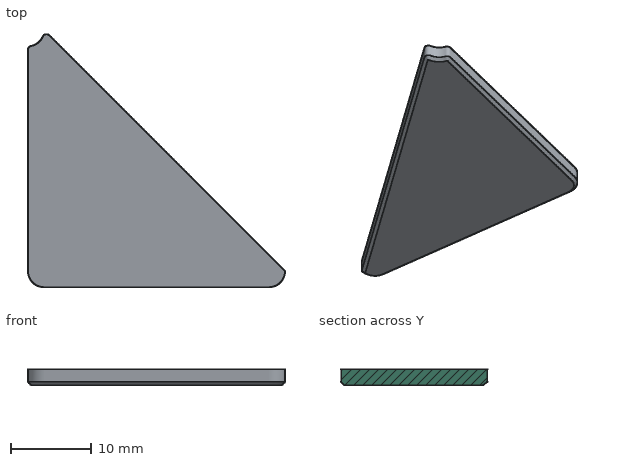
import cadquery as cq
import math

side = 32.0
thickness = 2.0
corner_radius = 2.0
notch_radius = corner_radius
notch_blend = 0.5
bottom_chamfer = 0.4

diagonal_sum = side + corner_radius
blend_distance = notch_radius + notch_blend
diagonal_cos = math.sqrt(0.5)


def polar(center, radius, angle):
    return (center[0] + radius * math.cos(angle), center[1] + radius * math.sin(angle))


def blend_arc(center, start_angle, end_angle):
    """Start, middle and end points of a blend arc."""
    angles = (start_angle, (start_angle + end_angle) / 2, end_angle)
    return [polar(center, notch_blend, angle) for angle in angles]


notch_center = (0, side)
left_angle = -math.acos(notch_blend / blend_distance)
left_center = polar(notch_center, blend_distance, left_angle)

diagonal_distance = (diagonal_sum - side) * diagonal_cos - notch_blend
tip_angle = math.pi / 4 - math.acos(diagonal_distance / blend_distance)
tip_center = polar(notch_center, blend_distance, tip_angle)

left_start, left_middle, left_end = blend_arc(left_center, math.pi, left_angle + math.pi)
tip_start, tip_middle, tip_end = blend_arc(tip_center, tip_angle + math.pi, math.pi / 4)
notch_middle = polar(notch_center, notch_radius, (left_angle + tip_angle) / 2)

corner_inset = corner_radius * (1 - diagonal_cos)

outline = (
    cq.Workplane("XY")
    .moveTo(corner_radius, 0)
    .lineTo(side - corner_radius, 0)
    .threePointArc((side - corner_inset, corner_inset), (side, corner_radius))
    .lineTo(*tip_end)
    .threePointArc(tip_middle, tip_start)
    .threePointArc(notch_middle, left_end)
    .threePointArc(left_middle, left_start)
    .lineTo(0, corner_radius)
    .threePointArc((corner_inset, corner_inset), (corner_radius, 0))
    .close()
)

result = outline.extrude(thickness).faces("<Z").chamfer(bottom_chamfer)